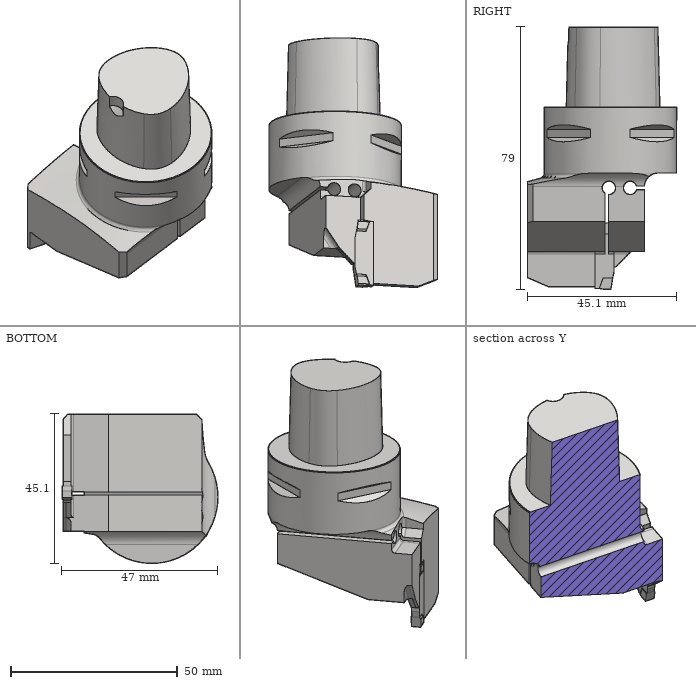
import cadquery as cq
import math


shank_height = 24.0
shank_base_radius = 14.15
shank_taper = 1 / 40
lobe_height = 0.8
lobe_count = 3
lobe_half_angle = 27
keyway_radius = 3.2
keyway_axis_y = -14.1
keyway_depth = 4.2
keyway_cone_height = 2.4

flange_radius = 20.0
flange_height = 20.0
flange_chamfer = 0.2
groove_mid_z = -8.0
groove_floor_height = 2.45
groove_floor_distance = 17.7
groove_flank_angle = 30
groove_count = 4

shoulder_angle = 15
shoulder_top_z = -21.2
shoulder_fillet = 1.3
shoulder_outer_radius = 47.4

head_left = -26.7
head_right = 15.1
head_front = -25.05
head_back = 10.3
wall_fillet = 4.0
front_chamfer = 1.65
left_chamfer_width = 1.4
head_floor_z = -43.6
slope_start_x = -13.0
slope_angle = 18

blade_inner_x = -24.25
blade_bottom_z = -54.2
blade_root_fillet = 0.7
blade_front_z = -51.4
blade_flat_end_y = -18.7
clamp_edge_top_z = -37.85
clamp_edge_bend = (6.1, -43.8)
clamp_edge_end = (1.6, -48.3)
clamp_edge_fillet = 1.5

recess_x = -20.4
recess_front_y = -3.9
recess_slant_top_z = -24.9
recess_slant_end_y = -0.9
recess_slant_fillet = 2.7
recess_floor_z = -27.9
recess_fillet = 1.0

spring_hole_radius = 2.0
spring_hole_z = -24.4
back_hole_y = 5.9
front_hole_y = -0.5
slit_width = 1.0
slit_mid_y = -1.1

insert_mid_z = -44.95
tip_reach = 10.0
plate_half_length = 9.8
insert_front_y = -4.7
insert_back_y = 1.1
insert_flat_half_length = 4.75
tip_back_y = 0.15
tip_root_back_y = 0.7
tip_root_reach = 6.6
tip_land_end_y = -1.9
tip_front_y = -3.4
tip_root_front_y = -2.2
tip_left = -27.0
tip_width = 3.0
tip_ramp_length = 0.6
tip_corner_depth = 0.15
tip_corner_length = 0.5

beyond = 63.2


def prism_along_x(outline, x_start, x_end):
    """Prism of a closed outline of (Y, Z) points between two X positions."""
    return cq.Workplane("YZ", origin=(x_start, 0, 0)).polyline(outline).close().extrude(x_end - x_start)


def shank_section(z):
    """Closed constant-width section at height z, with one curve on each lobe and one between lobes."""
    radius = shank_base_radius - shank_taper * z

    def point(angle):
        support = radius + lobe_height * math.cos(lobe_count * angle)
        slope = lobe_count * lobe_height * math.sin(lobe_count * angle)
        along_x = -support * math.sin(angle) + slope * math.cos(angle)
        along_y = support * math.cos(angle) + slope * math.sin(angle)
        return (along_x, along_y, z)

    pitch = 2 * math.pi / lobe_count
    half_lobe = math.radians(lobe_half_angle)
    curves = []
    for index in range(lobe_count):
        lobe_start = index * pitch - half_lobe
        lobe_end = index * pitch + half_lobe
        next_start = lobe_start + pitch
        for start, stop in ((lobe_start, lobe_end), (lobe_end, next_start)):
            curve = cq.Workplane("XY").parametricCurve(point, start=start, stop=stop, N=12, makeWire=False)
            curves.append(curve.val())
    return cq.Wire.assembleEdges(curves)


def make_shank():
    sections = [shank_section(0), shank_section(shank_height)]
    shank = cq.Workplane(obj=cq.Solid.makeLoft(sections, True))
    cone_start_z = shank_height - keyway_depth
    keyway = (
        cq.Workplane("XZ", origin=(0, keyway_axis_y, 0))
        .polyline([
            (0, shank_height + keyway_depth),
            (keyway_radius, shank_height + keyway_depth),
            (keyway_radius, cone_start_z),
            (0, cone_start_z - keyway_cone_height),
        ])
        .close()
        .revolve(360, (0, 0, 0), (0, 1, 0))
    )
    return shank.cut(keyway)


def make_groove(angle):
    """Straight groove with sloping flanks, across the flange in the given direction."""
    half_floor = groove_floor_height / 2
    radial_depth = flange_radius - groove_floor_distance
    half_mouth = half_floor + radial_depth * math.tan(math.radians(groove_flank_angle))
    return (
        cq.Workplane("XZ")
        .polyline([
            (groove_floor_distance, groove_mid_z - half_floor),
            (flange_radius, groove_mid_z - half_mouth),
            (flange_radius, groove_mid_z + half_mouth),
            (groove_floor_distance, groove_mid_z + half_floor),
        ])
        .close()
        .extrude(flange_radius, both=True)
        .rotate((0, 0, 0), (0, 0, 1), angle)
    )


def make_flange():
    flange = cq.Workplane("XY").circle(flange_radius).extrude(-flange_height)
    flange = flange.faces(">Z").chamfer(flange_chamfer)
    for index in range(groove_count):
        flange = flange.cut(make_groove((index + 0.5) * 360 / groove_count))
    return flange


def make_shoulder_blank():
    """Round blank below the flange, with a conical top and a fillet up to the flange."""
    slope = math.tan(math.radians(shoulder_angle))
    outer_z = shoulder_top_z - (shoulder_outer_radius - flange_radius) * slope
    turn = math.radians(90 - shoulder_angle)
    fillet_top = shoulder_top_z + shoulder_fillet * math.tan(turn / 2)
    center_r = flange_radius + shoulder_fillet
    mid_angle = math.pi + turn / 2
    arc_mid = (
        center_r + shoulder_fillet * math.cos(mid_angle),
        fillet_top + shoulder_fillet * math.sin(mid_angle),
    )
    arc_end = (
        center_r + shoulder_fillet * math.cos(math.pi + turn),
        fillet_top + shoulder_fillet * math.sin(math.pi + turn),
    )
    return (
        cq.Workplane("XZ")
        .moveTo(0, -flange_height)
        .lineTo(flange_radius, -flange_height)
        .lineTo(flange_radius, fillet_top)
        .threePointArc(arc_mid, arc_end)
        .lineTo(shoulder_outer_radius, outer_z)
        .lineTo(shoulder_outer_radius, -beyond)
        .lineTo(0, -beyond)
        .close()
        .revolve(360, (0, 0, 0), (0, 1, 0))
    )


def make_head():
    """Head and blade: the round blank trimmed to three outlines."""
    wall_fillet_end_z = -flange_height - wall_fillet
    right_floor_z = head_floor_z + (head_right - slope_start_x) * math.tan(math.radians(slope_angle))
    front_outline = (
        cq.Workplane("XZ")
        .moveTo(head_left, -flange_height)
        .lineTo(head_right + wall_fillet, -flange_height)
        .radiusArc((head_right, wall_fillet_end_z), -wall_fillet)
        .lineTo(head_right, right_floor_z)
        .lineTo(slope_start_x, head_floor_z)
        .lineTo(blade_inner_x + blade_root_fillet, head_floor_z)
        .radiusArc((blade_inner_x, head_floor_z - blade_root_fillet), -blade_root_fillet)
        .lineTo(blade_inner_x, blade_bottom_z)
        .lineTo(head_left, blade_bottom_z)
        .close()
        .extrude(beyond, both=True)
    )
    side_outline = (
        cq.Workplane("YZ")
        .moveTo(head_front, -flange_height)
        .lineTo(head_back + wall_fillet, -flange_height)
        .radiusArc((head_back, wall_fillet_end_z), -wall_fillet)
        .lineTo(head_back, blade_bottom_z)
        .lineTo(blade_flat_end_y, blade_bottom_z)
        .lineTo(head_front, blade_front_z)
        .close()
        .extrude(beyond, both=True)
    )
    plan_outline = (
        cq.Workplane("XY")
        .polyline([
            (head_left, beyond),
            (head_left, head_front + front_chamfer),
            (head_left + left_chamfer_width, head_front),
            (head_right - front_chamfer, head_front),
            (head_right - front_chamfer + beyond, head_front + beyond),
            (head_right - front_chamfer + beyond, beyond),
        ])
        .close()
        .extrude(-beyond)
    )
    return make_shoulder_blank().intersect(front_outline).intersect(side_outline).intersect(plan_outline)


def make_blade_trim():
    """Removes the blade behind the sloping edge of the clamping jaw, down to the inner blade face."""
    bend_y, bend_z = clamp_edge_bend
    end_y, end_z = clamp_edge_end
    edge_slope = (clamp_edge_top_z - bend_z) / (head_back - bend_y)
    outer_y = head_back + wall_fillet
    outer_z = bend_z + (outer_y - bend_y) * edge_slope
    outline = [
        (outer_y, outer_z),
        (bend_y, bend_z),
        (end_y, end_z),
        (slit_mid_y, end_z),
        (slit_mid_y, -beyond),
        (outer_y, -beyond),
    ]
    upper_edge = (blade_inner_x, (outer_y + bend_y) / 2, (outer_z + bend_z) / 2)
    lower_edge = (blade_inner_x, (bend_y + end_y) / 2, (bend_z + end_z) / 2)
    jaw_edges = cq.NearestToPointSelector(upper_edge) + cq.NearestToPointSelector(lower_edge)
    trim = prism_along_x(outline, -beyond, blade_inner_x)
    trim = trim.edges(jaw_edges).fillet(clamp_edge_fillet)
    root_outline = [
        (bend_y, head_floor_z),
        (end_y, end_z),
        (outer_y, end_z),
        (outer_y, head_floor_z),
    ]
    root_start_x = blade_inner_x - clamp_edge_fillet
    root_end_x = blade_inner_x + blade_root_fillet
    return trim.union(prism_along_x(root_outline, root_start_x, root_end_x))


def make_recess():
    outline = [
        (beyond, -flange_height),
        (recess_front_y, -flange_height),
        (recess_front_y, recess_slant_top_z),
        (recess_slant_end_y, recess_floor_z),
        (beyond, recess_floor_z),
    ]
    recess = prism_along_x(outline, -beyond, recess_x)
    slant_foot = ((recess_x - beyond) / 2, recess_slant_end_y, recess_floor_z)
    recess = recess.edges(cq.NearestToPointSelector(slant_foot)).fillet(recess_slant_fillet)
    return recess.faces(">X").edges("not >Z").edges("not >Y").fillet(recess_fillet)


def make_jaw_cuts():
    """Two spring holes, a slit from the back one to the back wall, and one from the front one down."""
    holes = (
        cq.Workplane("YZ")
        .pushPoints([(back_hole_y, spring_hole_z), (front_hole_y, spring_hole_z)])
        .circle(spring_hole_radius)
        .extrude(beyond, both=True)
    )
    back_slit = (
        cq.Workplane("XY", origin=(0, back_hole_y, spring_hole_z))
        .box(2 * beyond, beyond, slit_width, centered=(True, False, True))
    )
    down_slit = (
        cq.Workplane("XY", origin=(0, slit_mid_y, spring_hole_z - beyond))
        .box(2 * beyond, slit_width, beyond, centered=(True, True, False))
    )
    return holes.union(back_slit).union(down_slit)


def make_tip_bevel(edge_z, depth, length):
    """Wedge that bevels the left face of a tip, deepest at edge_z and running out over a signed length."""
    return (
        cq.Workplane("XZ")
        .polyline([(tip_left, edge_z), (tip_left + depth, edge_z), (tip_left, edge_z + length)])
        .close()
        .extrude(beyond, both=True)
    )


def make_insert():
    plate_outline = [
        (insert_front_y, insert_mid_z - plate_half_length),
        (tip_back_y, insert_mid_z - plate_half_length),
        (tip_root_back_y, insert_mid_z - tip_root_reach),
        (insert_back_y, insert_mid_z - insert_flat_half_length),
        (insert_back_y, insert_mid_z + insert_flat_half_length),
        (tip_root_back_y, insert_mid_z + tip_root_reach),
        (tip_back_y, insert_mid_z + plate_half_length),
        (insert_front_y, insert_mid_z + plate_half_length),
    ]
    insert = prism_along_x(plate_outline, head_left, blade_inner_x)
    for end in (1, -1):
        tip_outline = [
            (tip_back_y, insert_mid_z + end * tip_reach),
            (tip_land_end_y, insert_mid_z + end * tip_reach),
            (tip_front_y, insert_mid_z + end * plate_half_length),
            (tip_root_front_y, insert_mid_z + end * tip_root_reach),
            (tip_root_back_y, insert_mid_z + end * tip_root_reach),
        ]
        tip = prism_along_x(tip_outline, tip_left, tip_left + tip_width)
        root_z = insert_mid_z + end * tip_root_reach
        cutting_z = insert_mid_z + end * tip_reach
        root_ramp = make_tip_bevel(root_z, head_left - tip_left, end * tip_ramp_length)
        corner_bevel = make_tip_bevel(cutting_z, tip_corner_depth, -end * tip_corner_length)
        insert = insert.union(tip.cut(root_ramp).cut(corner_bevel))
    return insert.solids()


def make_holder(insert):
    head = make_head().cut(make_blade_trim()).cut(make_recess()).cut(make_jaw_cuts())
    return make_shank().union(make_flange()).union(head).cut(insert).solids()


insert = make_insert()
holder = make_holder(insert)

result = cq.Compound.makeCompound([holder.val(), insert.val()])